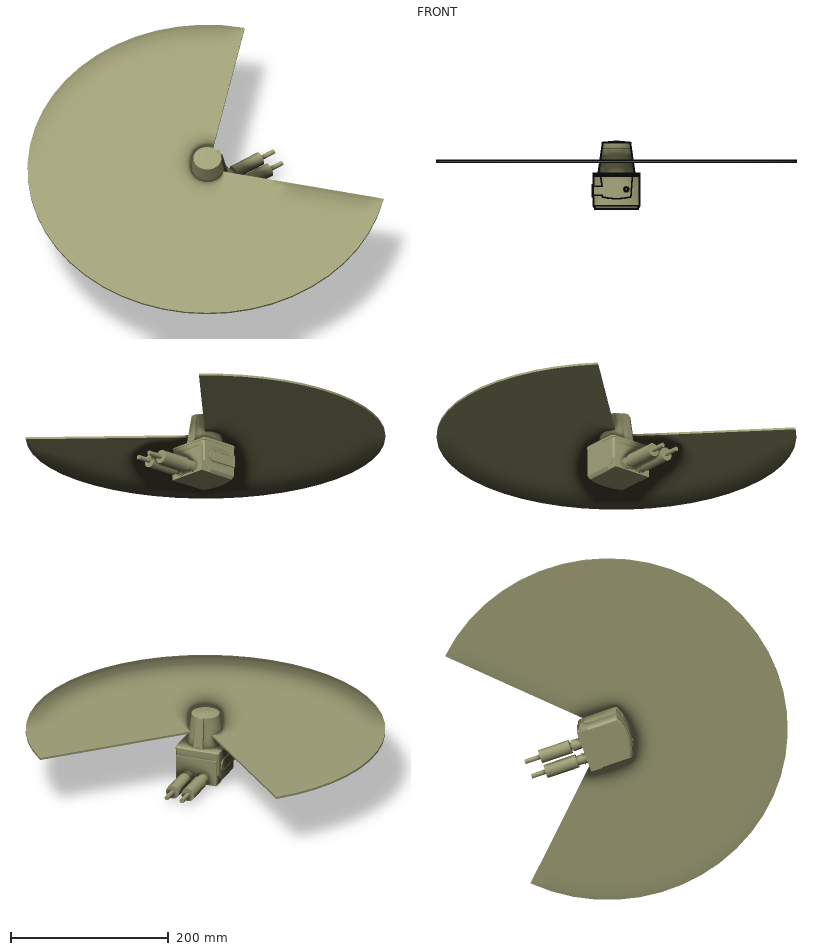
import cadquery as cq
import math


FIELD_RADIUS = 227.7
FIELD_THICKNESS = 2.7
FIELD_Z = 59.0
FIELD_GAP_ANGLE = 90.0

BOX_HALF_WIDTH = 29.5
BOX_HEIGHT = 45.0
FRONT_Y = -29.0
FRONT_CORNER_Y = -23.0
REAR_Y = 30.5
REAR_CORNER = 2.5
LID_BOTTOM_Z = 41.5
LID_OVERHANG = 0.5
LID_CHAMFER = (1.5, 2.5)
BASE_CHAMFER = (4.0, 2.7)

BLOCK_HALF_WIDTH = BOX_HALF_WIDTH - REAR_CORNER
BLOCK_REAR_Y = 32.0
BLOCK_HEIGHT = 33.5
CORNER_CUT = 14.0
CORNER_BEVEL_ANGLE = 45.0

PANEL_RAISE = 0.7
PANEL_TOP_HALF_WIDTH = 20.0
PANEL_BOTTOM_HALF_WIDTH = 18.0
PANEL_BOTTOM_Z = 15.5
PANEL_SAG = 2.5
BAND_TOP_Z = 28.5
BAND_BOTTOM_Z = 17.8

DISPLAY_X = -31.0
DISPLAY_Y = (-22.5, 21.0)
DISPLAY_Z = (15.5, 31.0)
DISPLAY_CORNER = 4.0
DISPLAY_RIM = 2.0
DISPLAY_DEPTH = 0.7

BUTTON_X = 12.5
BUTTON_Z = 25.0
BUTTON_DIAMETER = 6.0
BUTTON_TOP_DIAMETER = 3.8
BUTTON_RAISE = 0.5
BUTTON_SETBACK = 0.5

HOOD_BASE_RADIUS = 23.2
HOOD_SEAM_RADIUS = 18.5
HOOD_SEAM_Z = 77.0
HOOD_TOP_RADIUS = 17.8
HOOD_SHOULDER_Z = 84.3
HOOD_TOP_Z = 85.5
CAP_DIAMETER = 6.0
CAP_DIMPLE_DIAMETER = 3.8
CAP_DIMPLE_DEPTH = 0.5
RIB_TOP_Y = 19.5
RIB_BASE_Y = 26.5
RIB_TOP_HALF_WIDTH = 4.5
RIB_BASE_HALF_WIDTH = 6.5

PLUG_X = 10.5
PLUG_Z = 8.5
SLEEVE_DIAMETER = 17.5
SLEEVE_END_Y = 87.0
CABLE_DIAMETER = 6.0
NUT_DIAMETER = 14.0
NUT_END_Y = 44.0
NUT_SLEEVE_GAP = 2.5
NUT_NECK_DIAMETER = 8.0
NUT_CABLE_END_Y = 107.5
GROOVE_PITCH = 1.5
GROOVE_DEPTH = 0.25
GROOVE_COUNT = 3
SOCKET_DIAMETER = 12.5
SOCKET_END_Y = 43.0
SOCKET_SLEEVE_GAP = 2.0
SOCKET_NECK_DIAMETER = 11.0
SOCKET_CABLE_END_Y = 106.0
COLLAR_DIAMETER = 15.0
COLLAR_THICKNESS = 1.5
COLLAR_STARTS = (BLOCK_REAR_Y, 35.5)


def box_slab(grow, z_bottom, z_top):
    """Upright prism of the housing plan, grown outward all round."""
    half = BOX_HALF_WIDTH + grow
    rear = REAR_Y + grow
    return (
        cq.Workplane("XY", origin=(0, 0, z_bottom))
        .moveTo(-half, FRONT_CORNER_Y - grow)
        .threePointArc((0, FRONT_Y - grow), (half, FRONT_CORNER_Y - grow))
        .lineTo(half, rear - REAR_CORNER)
        .lineTo(half - REAR_CORNER, rear)
        .lineTo(REAR_CORNER - half, rear)
        .lineTo(-half, rear - REAR_CORNER)
        .close()
        .extrude(z_top - z_bottom)
    )


def corner_recess(side):
    """Bevelled triangular cut at the lower rear of one side (-1 or +1)."""
    depth = BOX_HALF_WIDTH - BLOCK_HALF_WIDTH
    triangle = (
        cq.Workplane("YZ", origin=(BLOCK_HALF_WIDTH, 0, 0))
        .polyline([(REAR_Y, 0), (REAR_Y, CORNER_CUT), (REAR_Y - CORNER_CUT, 0)])
        .close()
        .extrude(depth, taper=-CORNER_BEVEL_ANGLE)
    )
    return triangle if side > 0 else triangle.mirror("YZ")


def make_box():
    """Base with a slightly wider lid and the connector block at its lower rear."""
    lid = box_slab(0, LID_BOTTOM_Z, BOX_HEIGHT)
    lid = lid.faces(">Z").edges("not |Y").chamfer(*LID_CHAMFER)
    base = box_slab(-LID_OVERHANG, 0, LID_BOTTOM_Z)
    base = base.faces("<Z").edges().chamfer(*BASE_CHAMFER)
    for side in (-1, 1):
        base = base.cut(corner_recess(side))
    block_front_y = REAR_Y - CORNER_CUT
    block = (
        cq.Workplane("XY", origin=(0, block_front_y, 0))
        .box(2 * BLOCK_HALF_WIDTH, BLOCK_REAR_Y - block_front_y, BLOCK_HEIGHT, centered=(True, False, False))
    )
    return base.union(lid).union(block)


def make_panel():
    """Raised skin that follows the bowed front."""
    outline = (
        cq.Workplane("XZ")
        .moveTo(PANEL_TOP_HALF_WIDTH, LID_BOTTOM_Z)
        .lineTo(PANEL_BOTTOM_HALF_WIDTH, PANEL_BOTTOM_Z)
        .threePointArc((0, PANEL_BOTTOM_Z - PANEL_SAG), (-PANEL_BOTTOM_HALF_WIDTH, PANEL_BOTTOM_Z))
        .lineTo(-PANEL_BOTTOM_HALF_WIDTH, BAND_BOTTOM_Z)
        .lineTo(-BOX_HALF_WIDTH, BAND_BOTTOM_Z)
        .lineTo(-BOX_HALF_WIDTH, BAND_TOP_Z)
        .lineTo(-PANEL_BOTTOM_HALF_WIDTH, BAND_TOP_Z)
        .lineTo(-PANEL_TOP_HALF_WIDTH, LID_BOTTOM_Z)
        .close()
        .extrude(-2 * FRONT_Y)
    )
    skin = box_slab(PANEL_RAISE - LID_OVERHANG, 0, BOX_HEIGHT)
    return outline.intersect(skin)


def display_prism(inset, depth):
    """Prism from the display face inward, with cut rear corners."""
    y_front, y_rear = DISPLAY_Y[0] + inset, DISPLAY_Y[1] - inset
    z_low, z_high = DISPLAY_Z[0] + inset, DISPLAY_Z[1] - inset
    corner = DISPLAY_CORNER
    return (
        cq.Workplane("YZ", origin=(DISPLAY_X, 0, 0))
        .polyline([
            (y_front, z_low),
            (y_rear - corner, z_low),
            (y_rear, z_low + corner),
            (y_rear, z_high - corner),
            (y_rear - corner, z_high),
            (y_front, z_high),
        ])
        .close()
        .extrude(depth)
    )


def make_display():
    """Display pad with a rim around its recessed face."""
    pad = display_prism(0, -DISPLAY_X - BLOCK_HALF_WIDTH)
    return pad.cut(display_prism(DISPLAY_RIM, DISPLAY_DEPTH))


def make_button():
    """Tapered disc standing proud of the front panel."""
    back_y = FRONT_CORNER_Y
    rim_y = FRONT_Y + BUTTON_SETBACK
    return (
        cq.Workplane("XY")
        .polyline([
            (0, back_y),
            (BUTTON_DIAMETER / 2, back_y),
            (BUTTON_DIAMETER / 2, rim_y),
            (BUTTON_TOP_DIAMETER / 2, rim_y - BUTTON_RAISE),
            (0, rim_y - BUTTON_RAISE),
        ])
        .close()
        .revolve(360, (0, 0), (0, 1))
        .translate((BUTTON_X, 0, BUTTON_Z))
    )


def make_hood():
    """Cone in two stages under a shallow conical cap with a dimpled centre."""
    return (
        cq.Workplane("XZ")
        .polyline([
            (0, BOX_HEIGHT),
            (HOOD_BASE_RADIUS, BOX_HEIGHT),
            (HOOD_SEAM_RADIUS, HOOD_SEAM_Z),
            (HOOD_TOP_RADIUS, HOOD_SHOULDER_Z),
            (CAP_DIAMETER / 2, HOOD_TOP_Z),
            (CAP_DIMPLE_DIAMETER / 2, HOOD_TOP_Z),
            (0, HOOD_TOP_Z - CAP_DIMPLE_DEPTH),
        ])
        .close()
        .revolve(360, (0, 0), (0, 1))
    )


def make_rib():
    """Flat-backed rib up the rear of the hood, narrowing toward the top."""
    return (
        cq.Workplane("XY", origin=(0, 0, BOX_HEIGHT))
        .center(0, RIB_BASE_Y / 2)
        .rect(2 * RIB_BASE_HALF_WIDTH, RIB_BASE_Y)
        .workplane(offset=HOOD_SHOULDER_Z - BOX_HEIGHT)
        .center(0, (RIB_TOP_Y - RIB_BASE_Y) / 2)
        .rect(2 * RIB_TOP_HALF_WIDTH, RIB_TOP_Y)
        .loft()
    )


def make_housing():
    body = make_box()
    for feature in (make_panel(), make_display(), make_button(), make_hood(), make_rib()):
        body = body.union(feature)
    return body


def make_scan_field(opening):
    """Thin sector, open toward +Y, with an opening that fits the hood."""
    half_gap = math.radians(FIELD_GAP_ANGLE / 2)
    end_x = FIELD_RADIUS * math.sin(half_gap)
    end_y = FIELD_RADIUS * math.cos(half_gap)
    sector = (
        cq.Workplane("XY", origin=(0, 0, FIELD_Z))
        .lineTo(end_x, end_y)
        .threePointArc((0, -FIELD_RADIUS), (-end_x, end_y))
        .close()
        .extrude(FIELD_THICKNESS)
    )
    return sector.cut(opening)


def plug_cylinder(diameter, y_start, y_end):
    """Cylinder along Y at the height of the plugs."""
    return (
        cq.Workplane("XZ", origin=(0, y_start, PLUG_Z))
        .circle(diameter / 2)
        .extrude(y_start - y_end)
    )


def join_stages(stages):
    """One plug from (diameter, start, end) stages along Y."""
    plug = plug_cylinder(*stages[0])
    for stage in stages[1:]:
        plug = plug.union(plug_cylinder(*stage))
    return plug


def make_nut_plug():
    """Cable plug with a grooved coupling nut."""
    sleeve_start = NUT_END_Y + NUT_SLEEVE_GAP
    plug = join_stages([
        (NUT_DIAMETER, BLOCK_REAR_Y, NUT_END_Y),
        (NUT_NECK_DIAMETER, NUT_END_Y, sleeve_start),
        (SLEEVE_DIAMETER, sleeve_start, SLEEVE_END_Y),
        (CABLE_DIAMETER, SLEEVE_END_Y, NUT_CABLE_END_Y),
    ])
    for index in range(GROOVE_COUNT):
        groove_start = BLOCK_REAR_Y + (index + 0.5) * GROOVE_PITCH
        groove_end = groove_start + GROOVE_PITCH / 2
        ring = plug_cylinder(NUT_DIAMETER, groove_start, groove_end)
        core = plug_cylinder(NUT_DIAMETER - 2 * GROOVE_DEPTH, groove_start, groove_end)
        plug = plug.cut(ring.cut(core))
    return plug.translate((-PLUG_X, 0, 0))


def make_socket_plug():
    """Cable plug with two collars on a plain coupling."""
    sleeve_start = SOCKET_END_Y + SOCKET_SLEEVE_GAP
    collars = [(COLLAR_DIAMETER, start, start + COLLAR_THICKNESS) for start in COLLAR_STARTS]
    plug = join_stages([
        (SOCKET_DIAMETER, BLOCK_REAR_Y, SOCKET_END_Y),
        (SOCKET_NECK_DIAMETER, SOCKET_END_Y, sleeve_start),
        (SLEEVE_DIAMETER, sleeve_start, SLEEVE_END_Y),
        (CABLE_DIAMETER, SLEEVE_END_Y, SOCKET_CABLE_END_Y),
        *collars,
    ])
    return plug.translate((PLUG_X, 0, 0))


housing = make_housing()
scan_field = make_scan_field(housing)
nut_plug = make_nut_plug()
socket_plug = make_socket_plug()

result = cq.Compound.makeCompound([
    housing.val(),
    scan_field.val(),
    nut_plug.val(),
    socket_plug.val(),
])